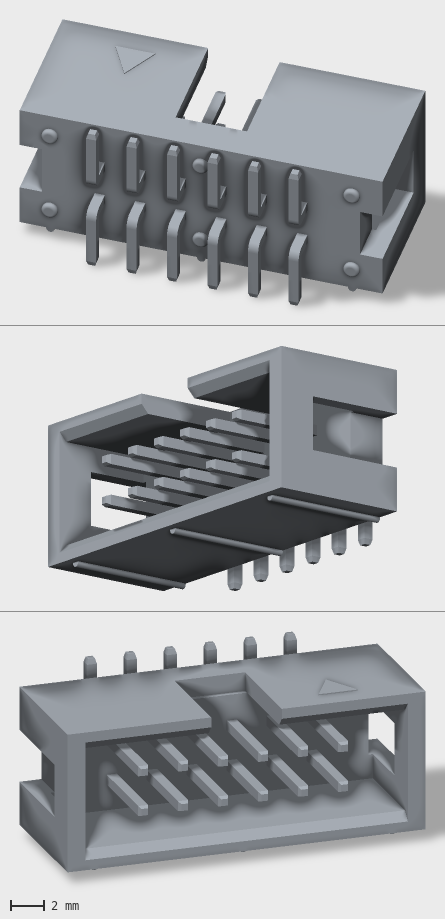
import cadquery as cq

body_length = 22.75
body_depth = 8.8
body_height = 8.8

end_wall = 1.14
side_wall = 1.18
cavity_depth = 6.37
lead_in_depth = 0.5
lead_in_height = 0.55

notch_width = 4.48
notch_depth = 6.7

slot_reach = 1.4
slot_height = 3.35
slot_setback = 2.39

pins_per_row = 6
pin_row_length = 12.7
pin_size = 0.64
pin_reach = 1.82
pin_setback = 0.35
leg_tip_spread = 10.3
tip_inset = 0.1
contact_taper = 0.3
leg_taper = 0.35

column_spacing = 9.45
stud_row_spacing = 5.8
stud_diameter = 1.0
stud_height = 0.32
stud_rounding = 0.2
rib_width = 0.5
rib_height = 0.3
rib_setback = 0.61

mark_width = 2.5
mark_length = 2.27
mark_height = 0.07
mark_setback = 1.5

top = body_height / 2
bottom = -top
pitch = pin_row_length / (pins_per_row - 1)
first_pin_x = -pin_row_length / 2
column_positions = [-column_spacing, 0, column_spacing]


def block(x_range, y_range, z_range):
    """Box spanning the given (low, high) range on each axis."""
    (x0, x1), (y0, y1), (z0, z1) = x_range, y_range, z_range
    return cq.Workplane("XY", origin=(x0, y0, z0)).box(x1 - x0, y1 - y0, z1 - z0, centered=False)


def make_cavity():
    """Rectangular cavity whose long walls flare outwards at the mouth."""
    length = body_length - 2 * end_wall
    half_height = top - side_wall
    flare_half_height = half_height + lead_in_height
    floor_y = body_depth - cavity_depth
    flare_y = body_depth - lead_in_depth
    profile = [
        (floor_y, -half_height),
        (flare_y, -half_height),
        (body_depth, -flare_half_height),
        (body_depth, flare_half_height),
        (flare_y, half_height),
        (floor_y, half_height),
    ]
    return cq.Workplane("YZ").polyline(profile).close().extrude(length / 2, both=True)


def make_notch():
    return block(
        (-notch_width / 2, notch_width / 2),
        (body_depth - notch_depth, body_depth),
        (top - side_wall, top),
    )


def make_left_slot():
    left = -body_length / 2
    return block(
        (left, left + slot_reach),
        (0, body_depth - slot_setback),
        (-slot_height / 2, slot_height / 2),
    )


def make_body():
    body = block((-body_length / 2, body_length / 2), (0, body_depth), (bottom, top))
    left_slot = make_left_slot()
    return body.cut(make_cavity()).cut(make_notch()).cut(left_slot).cut(left_slot.mirror("YZ"))


def make_tip(taper):
    """Tapered pin end, rising along +Z from the origin."""
    end_size = pin_size - 2 * tip_inset
    return (
        cq.Workplane("XY")
        .rect(pin_size, pin_size)
        .workplane(offset=taper)
        .rect(end_size, end_size)
        .loft(ruled=True)
    )


def make_upper_pin():
    """Pin on X = 0: straight contact along Y, then a leg bent up along Z."""
    half = pin_size / 2
    row_z = pitch / 2
    contact_end = body_depth - pin_setback - contact_taper
    leg_end = leg_tip_spread / 2 - leg_taper
    contact = block((-half, half), (-pin_reach, contact_end), (row_z - half, row_z + half))
    leg = block((-half, half), (-pin_reach, pin_size - pin_reach), (row_z - half, leg_end))
    outer_bend = cq.selectors.NearestToPointSelector((0, -pin_reach, row_z - half))
    pin = contact.union(leg).edges(outer_bend).fillet(pin_size)
    contact_tip = make_tip(contact_taper).rotate((0, 0, 0), (1, 0, 0), -90)
    contact_tip = contact_tip.translate((0, contact_end, row_z))
    leg_tip = make_tip(leg_taper).translate((0, half - pin_reach, leg_end))
    return pin.union(contact_tip).union(leg_tip)


def make_stud():
    """Round stud standing on the front face, its rim rounded."""
    stud = cq.Workplane("XZ").circle(stud_diameter / 2).extrude(stud_height)
    return stud.faces("<Y").edges().fillet(stud_rounding)


def make_rib():
    """Round-nosed rib under the body, running back from the front face."""
    radius = rib_width / 2
    nose_start = bottom - rib_height + radius
    return (
        cq.Workplane("XZ")
        .moveTo(-radius, bottom)
        .lineTo(-radius, nose_start)
        .threePointArc((0, bottom - rib_height), (radius, nose_start))
        .lineTo(radius, bottom)
        .close()
        .extrude(-(body_depth - rib_setback))
    )


def make_pin_one_mark():
    base_y = body_depth - mark_setback
    corners = [
        (first_pin_x - mark_width / 2, base_y),
        (first_pin_x + mark_width / 2, base_y),
        (first_pin_x, base_y - mark_length),
    ]
    return cq.Workplane("XY", origin=(0, 0, top)).polyline(corners).close().extrude(mark_height)


result = make_body().union(make_pin_one_mark())

upper_pin = make_upper_pin()
lower_pin = upper_pin.mirror("XY")
for index in range(pins_per_row):
    pin_x = first_pin_x + index * pitch
    result = result.union(upper_pin.translate((pin_x, 0, 0))).union(lower_pin.translate((pin_x, 0, 0)))

stud = make_stud()
rib = make_rib()
for column_x in column_positions:
    result = result.union(rib.translate((column_x, 0, 0)))
    for stud_z in (-stud_row_spacing / 2, stud_row_spacing / 2):
        result = result.union(stud.translate((column_x, 0, stud_z)))